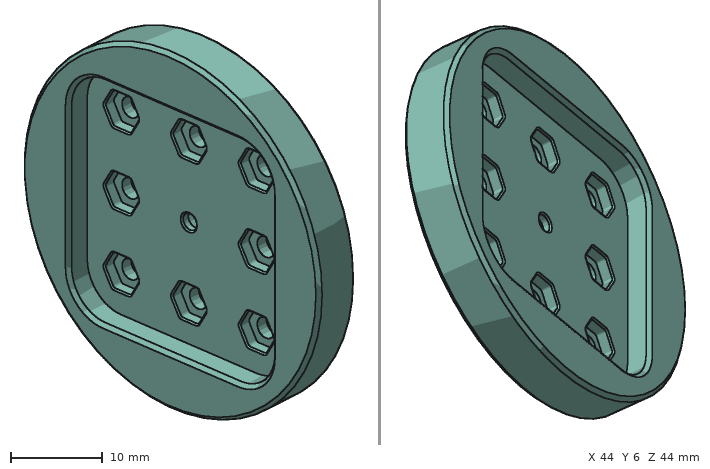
import cadquery as cq
import math

disc_diameter = 44
disc_thickness = 6.0
edge_chamfer = 0.5

pocket_width = 30.0
pocket_corner_radius = 5.0
pocket_depth = disc_thickness / 2

hole_pitch = 10.0
hole_diameter = 2.5
nut_across_flats = 4.4
nut_corner_radius = 0.5
nut_depth = 1.5
nut_chamfer = 0.2

centre_diameter = 2.02
centre_chamfer = 0.2
centre_length = 1.0
counterbore_diameter = 3.6

front_y = -disc_thickness / 2
back_y = disc_thickness / 2
floor_y = front_y + pocket_depth
seat_y = floor_y + nut_depth
counterbore_y = floor_y + centre_length


def plane_at(y):
    """Workplane at the given Y that faces the front (-Y)."""
    return cq.Workplane("XZ", origin=(0, y, 0))


def cylinder(diameter, start_y, end_y):
    """Cylinder on the disc axis between two Y positions."""
    return plane_at(end_y).circle(diameter / 2).extrude(end_y - start_y)


def chamfered_cut(sketch, mouth_y, end_y, chamfer):
    """Straight cut from mouth_y to end_y that widens at 45 degrees at its mouth."""
    shaft = plane_at(end_y).placeSketch(sketch).extrude(end_y - mouth_y)
    flare = plane_at(mouth_y + chamfer).placeSketch(sketch).extrude(chamfer, taper=-45)
    return shaft.union(flare)


def make_disc():
    return cylinder(disc_diameter, front_y, back_y).edges().chamfer(edge_chamfer)


def make_pocket():
    square = cq.Sketch().rect(pocket_width, pocket_width)
    outline = square.vertices().fillet(pocket_corner_radius)
    return chamfered_cut(outline, front_y, floor_y, edge_chamfer)


def make_nut_seat():
    """Hexagonal recess with two flats facing up and down, and its screw hole."""
    corner_distance = nut_across_flats / 2 / math.cos(math.radians(30))
    hexagon = cq.Sketch().regularPolygon(corner_distance, 6, angle=30)
    outline = hexagon.vertices().fillet(nut_corner_radius)
    recess = chamfered_cut(outline, floor_y, seat_y, nut_chamfer)
    return recess.union(cylinder(hole_diameter, floor_y, back_y))


def make_centre_hole():
    outline = cq.Sketch().circle(centre_diameter / 2)
    hole = chamfered_cut(outline, floor_y, back_y, centre_chamfer)
    return hole.union(cylinder(counterbore_diameter, counterbore_y, back_y))


result = make_disc().cut(make_pocket()).cut(make_centre_hole())

nut_seat = make_nut_seat()
for column in (-1, 0, 1):
    for row in (-1, 0, 1):
        if (column, row) != (0, 0):
            position = (column * hole_pitch, 0, row * hole_pitch)
            result = result.cut(nut_seat.translate(position))